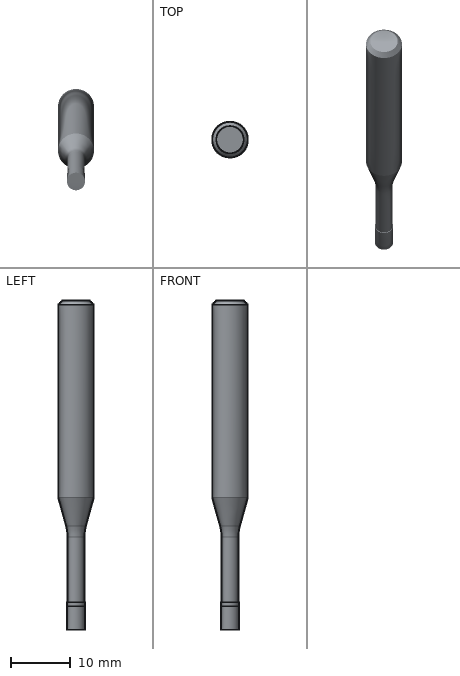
import cadquery as cq
import math

total_length = 55.0
shank_radius = 6.0 / 2
end_chamfer = 0.7

tip_radius = 3.0 / 2
tip_length = 3.9
collar_length = 0.65
collar_top = tip_length + collar_length

neck_radius = 1.45
neck_top = 15.5
blend_radius = 6.9
cone_angle = math.radians(15.5)


def blend_point(angle):
    """Radius and height on the blend arc where its side leans outward by angle."""
    radius = neck_radius + blend_radius * (1 - math.cos(angle))
    height = neck_top + blend_radius * math.sin(angle)
    return radius, height


def make_tip():
    """Plain round cutting tip."""
    return cq.Workplane("XY").circle(tip_radius).extrude(tip_length)


def make_shank():
    """Turned shank with end chamfer, cone, blended neck and collar."""
    blend_middle = blend_point(cone_angle / 2)
    cone_radius, cone_bottom = blend_point(cone_angle)
    cone_top = cone_bottom + (shank_radius - cone_radius) / math.tan(cone_angle)
    return (
        cq.Workplane("XZ")
        .moveTo(0, tip_length)
        .lineTo(tip_radius, tip_length)
        .lineTo(tip_radius, collar_top)
        .lineTo(neck_radius, collar_top)
        .lineTo(neck_radius, neck_top)
        .threePointArc(blend_middle, (cone_radius, cone_bottom))
        .lineTo(shank_radius, cone_top)
        .lineTo(shank_radius, total_length - end_chamfer)
        .lineTo(shank_radius - end_chamfer, total_length)
        .lineTo(0, total_length)
        .close()
        .revolve(360, (0, 0), (0, 1))
    )


tip = make_tip()
shank = make_shank()
result = cq.Compound.makeCompound([tip.val(), shank.val()])